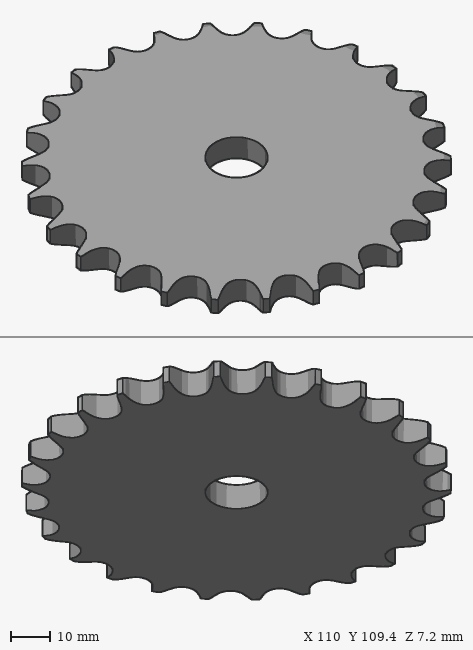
import cadquery as cq
import math

TOOTH_COUNT = 26
CHAIN_PITCH = 12.7
ROLLER_DIAMETER = 8.51
SEAT_CLEARANCE = 0.0381
TIP_DIAMETER = 110.0
PLATE_THICKNESS = 7.2
BORE_DIAMETER = 16.0
SIDE_RELIEF_RADIUS = 13.0
SIDE_RELIEF_DEPTH = 1.3

TIP_RADIUS = TIP_DIAMETER / 2
BORE_RADIUS = BORE_DIAMETER / 2
HALF_PITCH_ANGLE = math.pi / TOOTH_COUNT
PITCH_RADIUS = CHAIN_PITCH / (2 * math.sin(HALF_PITCH_ANGLE))
GAP_OVERSHOOT = 1.0

SEAT_RADIUS = 0.5025 * ROLLER_DIAMETER + SEAT_CLEARANCE
WORKING_RADIUS = 1.3025 * ROLLER_DIAMETER + SEAT_CLEARANCE
SEAT_ANGLE = math.radians(35 + 60 / TOOTH_COUNT)
WORKING_ANGLE = math.radians(18 - 56 / TOOTH_COUNT)
TOPPING_ANGLE = math.radians(17 - 64 / TOOTH_COUNT)
FLANK_ANGLE = SEAT_ANGLE - WORKING_ANGLE
WORKING_CENTER_DISTANCE = 0.8 * ROLLER_DIAMETER
TOPPING_CENTER_DISTANCE = 1.4 * ROLLER_DIAMETER
TOPPING_RADIUS = (
    WORKING_CENTER_DISTANCE * math.cos(WORKING_ANGLE)
    + TOPPING_CENTER_DISTANCE * math.cos(TOPPING_ANGLE)
    - WORKING_RADIUS
)


def point_on_circle(center, radius, angle):
    """Point at an angle measured from the +Y direction toward -X."""
    x = center[0] - radius * math.sin(angle)
    y = center[1] + radius * math.cos(angle)
    return (x, y)


def toothed_blank():
    """Disc with a bore, its rim thinned on both sides by the tooth side rounding."""
    half_thickness = PLATE_THICKNESS / 2
    tip_half_thickness = half_thickness - SIDE_RELIEF_DEPTH
    relief_center_height = half_thickness - SIDE_RELIEF_RADIUS
    full_relief_angle = math.acos(1 - SIDE_RELIEF_DEPTH / SIDE_RELIEF_RADIUS)
    relief_start_radius = TIP_RADIUS - SIDE_RELIEF_RADIUS * math.sin(full_relief_angle)
    middle_radius = relief_start_radius + SIDE_RELIEF_RADIUS * math.sin(full_relief_angle / 2)
    middle_height = relief_center_height + SIDE_RELIEF_RADIUS * math.cos(full_relief_angle / 2)
    profile = (
        cq.Workplane("XZ")
        .moveTo(BORE_RADIUS, -half_thickness)
        .lineTo(relief_start_radius, -half_thickness)
        .threePointArc((middle_radius, -middle_height), (TIP_RADIUS, -tip_half_thickness))
        .lineTo(TIP_RADIUS, tip_half_thickness)
        .threePointArc((middle_radius, middle_height), (relief_start_radius, half_thickness))
        .lineTo(BORE_RADIUS, half_thickness)
        .close()
    )
    return profile.revolve(360, (0, 0, 0), (0, 1, 0))


def flank_points():
    """Points of the -X flank of the gap on the +Y axis, from the end of the roller seat outward."""
    seat_center = (0, PITCH_RADIUS)
    working_center = (
        WORKING_CENTER_DISTANCE * math.cos(SEAT_ANGLE),
        PITCH_RADIUS + WORKING_CENTER_DISTANCE * math.sin(SEAT_ANGLE),
    )
    topping_center = (
        -TOPPING_CENTER_DISTANCE * math.cos(HALF_PITCH_ANGLE),
        PITCH_RADIUS - TOPPING_CENTER_DISTANCE * math.sin(HALF_PITCH_ANGLE),
    )
    quarter_turn = math.pi / 2
    seat_end = quarter_turn + SEAT_ANGLE
    working_end = quarter_turn + FLANK_ANGLE
    topping_start = FLANK_ANGLE - quarter_turn
    outer_height = TIP_RADIUS + GAP_OVERSHOOT
    topping_end = -math.acos((outer_height - topping_center[1]) / TOPPING_RADIUS)
    return [
        point_on_circle(seat_center, SEAT_RADIUS, seat_end),
        point_on_circle(working_center, WORKING_RADIUS, (seat_end + working_end) / 2),
        point_on_circle(working_center, WORKING_RADIUS, working_end),
        point_on_circle(topping_center, TOPPING_RADIUS, topping_start),
        point_on_circle(topping_center, TOPPING_RADIUS, (topping_start + topping_end) / 2),
        point_on_circle(topping_center, TOPPING_RADIUS, topping_end),
    ]


def mirrored(point):
    """Point on the opposite flank of the gap."""
    return (-point[0], point[1])


def gap_cutter():
    """Prism with the shape of the tooth gap that lies on the +Y axis."""
    seat_bottom = (0, PITCH_RADIUS - SEAT_RADIUS)
    seat_end, working_middle, working_end, topping_start, topping_middle, topping_end = flank_points()
    outline = (
        cq.Workplane("XY")
        .workplane(offset=-PLATE_THICKNESS)
        .moveTo(*mirrored(seat_end))
        .threePointArc(seat_bottom, seat_end)
        .threePointArc(working_middle, working_end)
        .lineTo(*topping_start)
        .threePointArc(topping_middle, topping_end)
        .lineTo(*mirrored(topping_end))
        .threePointArc(mirrored(topping_middle), mirrored(topping_start))
        .lineTo(*mirrored(working_end))
        .threePointArc(mirrored(working_middle), mirrored(seat_end))
        .close()
    )
    return outline.extrude(2 * PLATE_THICKNESS)


def cut_tooth_gaps(blank):
    """Cut one gap per tooth; the +Y axis runs through the middle of a gap."""
    cutter = gap_cutter().val()
    gap_spacing = 360 / TOOTH_COUNT
    cutters = []
    for index in range(TOOTH_COUNT):
        cutters.append(cutter.rotate((0, 0, 0), (0, 0, 1), index * gap_spacing))
    return blank.cut(cq.Workplane(cq.Compound.makeCompound(cutters)))


result = cut_tooth_gaps(toothed_blank())